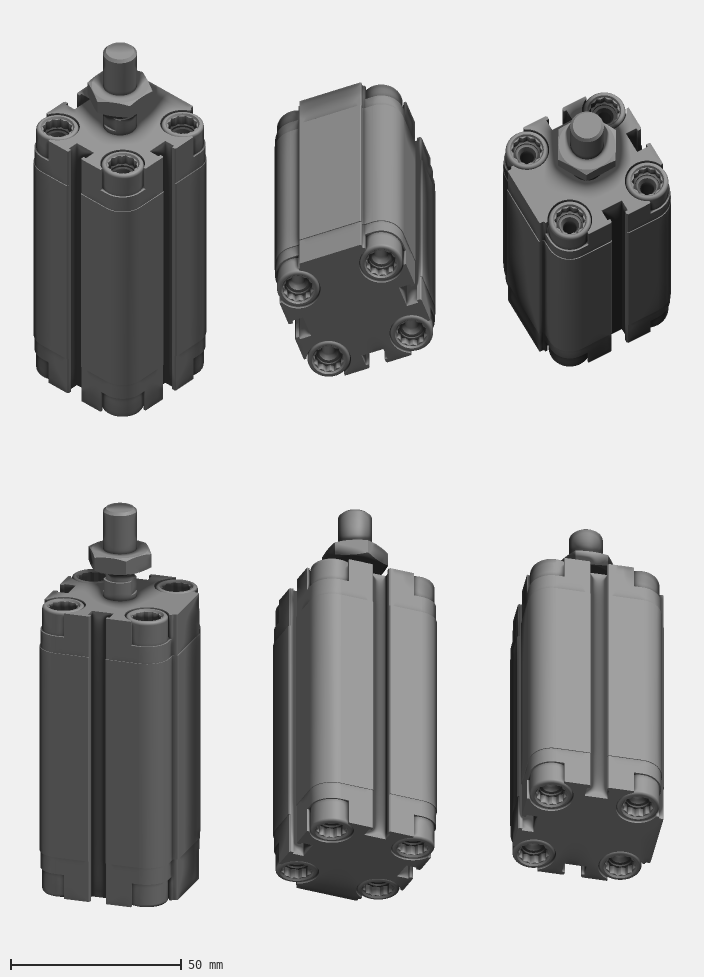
import cadquery as cq
import math

total_height = 117.0
housing_height = 89.5

half_width = 20.0
hole_offset = 13.0
pad_top_y = 21.5
pad_half_width = 9.7
pad_root_half_width = 10.1
pad_root_height = 0.4
pad_chamfer = 0.2

cap_height = 12.8
cap_inset = 0.2

boss_diameter = 12.5
boss_height = 7.5
boss_fillet = 0.9
relief_diameter = 13.1
relief_edge = 10.4

through_diameter = 4.1
socket_step_diameter = 7.3
socket_step_depth = 0.6
countersink_diameter = 5.5
countersink_depth = 1.4
socket_mouth_diameter = 10.0
socket_mouth_depth = 0.6
socket_depth = 3.5
star_outer_diameter = 9.1
star_inner_diameter = 8.1
star_points = 12

slot_mouth_width = 5.0
slot_inner_width = 6.8
slot_depth = 5.0
slot_lip = 1.5
slot_mouth_chamfer = 0.4

rod_diameter = 10.0
rod_chamfer = 0.8
neck_diameter = 8.7
neck_bottom = 95.1
neck_top = 97.2
flats_width = 8.5
flats_bottom = 90.9

nut_across_flats = 17.0
nut_bottom = 99.0
nut_height = 5.3
nut_face_diameter = 16.6
nut_chamfer_height = 0.6

corner_centers = [
    (x_side * hole_offset, y_side * hole_offset)
    for x_side in (-1, 1)
    for y_side in (-1, 1)
]


def make_slot(face, height):
    """T-slot cutter opening towards -Y, with the edges of its mouth chamfered at the given face."""
    mouth = slot_mouth_width / 2
    inner = slot_inner_width / 2
    lip_y = -half_width + slot_lip
    floor_y = -half_width + slot_depth
    half = (
        cq.Workplane("XY")
        .moveTo(0, -face)
        .lineTo(mouth + slot_mouth_chamfer, -face)
        .lineTo(mouth, -face + slot_mouth_chamfer)
        .lineTo(mouth, lip_y)
        .lineTo(inner, lip_y)
        .lineTo(inner, floor_y)
        .lineTo(0, floor_y)
        .close()
        .extrude(height)
    )
    return half.union(half.mirror("YZ"))


def make_prism(inset, height):
    """Rounded square bar with T-slots and the raised pad on +Y, its faces pulled in by the inset."""
    face = half_width - inset
    pad_y = pad_top_y - inset
    bar = (
        cq.Workplane("XY")
        .rect(2 * face, 2 * face)
        .extrude(height)
        .edges("|Z")
        .fillet(face - hole_offset)
    )
    pad = (
        cq.Workplane("XY")
        .moveTo(-pad_root_half_width, 0)
        .lineTo(-pad_root_half_width, face)
        .lineTo(-pad_half_width, face + pad_root_height)
        .lineTo(-pad_half_width, pad_y - pad_chamfer)
        .lineTo(-pad_half_width + pad_chamfer, pad_y)
        .lineTo(0, pad_y)
        .lineTo(0, 0)
        .close()
        .extrude(height)
    )
    bar = bar.union(pad).union(pad.mirror("YZ"))
    slot = make_slot(face, height)
    for angle in (-90, 0, 90):
        bar = bar.cut(slot.rotate((0, 0, 0), (0, 0, 1), angle))
    return bar


def make_corner_relief():
    """Square corner cutter that leaves a round boss standing, for the +X +Y corner."""
    relief_size = 2 * half_width
    base = cq.Workplane("XY").center(hole_offset, hole_offset)
    boss = base.circle(boss_diameter / 2).extrude(boss_height)
    boss = boss.faces(">Z").edges().fillet(boss_fillet)
    corner = (
        cq.Workplane("XY")
        .center(relief_edge, relief_edge)
        .rect(relief_size, relief_size, centered=False)
        .extrude(boss_height)
    )
    ring = base.circle(relief_diameter / 2).extrude(boss_height)
    return corner.union(ring).cut(boss)


def make_star():
    """Twelve-point socket prism hanging below z = 0."""
    points = []
    for i in range(2 * star_points):
        radius = (star_outer_diameter if i % 2 == 0 else star_inner_diameter) / 2
        angle = math.pi * i / star_points
        points.append((radius * math.cos(angle), radius * math.sin(angle)))
    return cq.Workplane("XY").polyline(points).close().extrude(-socket_depth)


def make_socket():
    """Conical mouth, twelve-point socket, round step and countersink, opening upwards at z = 0."""
    mouth = (
        cq.Workplane("XY")
        .circle(socket_mouth_diameter / 2)
        .workplane(offset=-socket_mouth_depth)
        .circle(star_outer_diameter / 2)
        .loft()
    )
    floor_z = -socket_depth - socket_step_depth
    step = cq.Workplane("XY").circle(socket_step_diameter / 2).extrude(floor_z)
    countersink = (
        cq.Workplane("XY", origin=(0, 0, floor_z))
        .circle(countersink_diameter / 2)
        .workplane(offset=-countersink_depth)
        .circle(through_diameter / 2)
        .loft()
    )
    return make_star().union(mouth).union(step).union(countersink)


def make_cap():
    """End cap with four bosses and sockets, its outer face at z = cap_height."""
    cap = make_prism(cap_inset, cap_height)
    relief = make_corner_relief().translate((0, 0, cap_height - boss_height))
    for angle in (0, 90, 180, 270):
        cap = cap.cut(relief.rotate((0, 0, 0), (0, 0, 1), angle))
    socket = make_socket()
    for x, y in corner_centers:
        cap = cap.cut(socket.translate((x, y, cap_height)))
    return cap


def make_housing():
    """Tube with an end cap at each end and corner through holes."""
    tube = make_prism(0, housing_height - 2 * cap_height).translate((0, 0, cap_height))
    cap = make_cap()
    top_cap = cap.translate((0, 0, housing_height - cap_height))
    bottom_cap = cap.mirror("XY").translate((0, 0, cap_height))
    housing = tube.union(top_cap).union(bottom_cap)
    holes = cq.Workplane("XY").pushPoints(corner_centers).circle(through_diameter / 2).extrude(housing_height)
    return housing.cut(holes)


def make_rod():
    """Stepped rod standing on the housing, with a thread relief neck and two wrench flats."""
    radius = rod_diameter / 2
    neck = neck_diameter / 2
    rod = (
        cq.Workplane("XZ")
        .moveTo(0, housing_height)
        .lineTo(radius, housing_height)
        .lineTo(radius, neck_bottom)
        .lineTo(neck, neck_bottom)
        .lineTo(neck, neck_top)
        .lineTo(radius, neck_top + radius - neck)
        .lineTo(radius, total_height - rod_chamfer)
        .lineTo(radius - rod_chamfer, total_height)
        .lineTo(0, total_height)
        .close()
        .revolve(360, (0, 0, 0), (0, 1, 0))
    )
    flats_height = neck_bottom - flats_bottom
    flats_cutter = (
        cq.Workplane("XY", origin=(0, 0, flats_bottom))
        .rect(2 * rod_diameter, 2 * rod_diameter)
        .rect(2 * rod_diameter, flats_width)
        .extrude(flats_height)
    )
    return rod.cut(flats_cutter)


def make_nut():
    """Hexagon nut with chamfered corners, flats facing +-X."""
    corner_diameter = nut_across_flats / math.cos(math.pi / 6)
    face_radius = nut_face_diameter / 2
    nut = (
        cq.Workplane("XY", origin=(0, 0, nut_bottom))
        .polygon(6, corner_diameter)
        .extrude(nut_height)
        .rotate((0, 0, 0), (0, 0, 1), 30)
    )
    nut_top = nut_bottom + nut_height
    envelope = (
        cq.Workplane("XZ")
        .moveTo(0, nut_bottom)
        .lineTo(face_radius, nut_bottom)
        .lineTo(corner_diameter / 2, nut_bottom + nut_chamfer_height)
        .lineTo(corner_diameter / 2, nut_top - nut_chamfer_height)
        .lineTo(face_radius, nut_top)
        .lineTo(0, nut_top)
        .close()
        .revolve(360, (0, 0, 0), (0, 1, 0))
    )
    bore = cq.Workplane("XY", origin=(0, 0, nut_bottom)).circle(rod_diameter / 2).extrude(nut_height)
    return nut.intersect(envelope).cut(bore)


housing = make_housing()
rod = make_rod()
nut = make_nut()

result = cq.Compound.makeCompound([housing.val(), rod.val(), nut.val()])